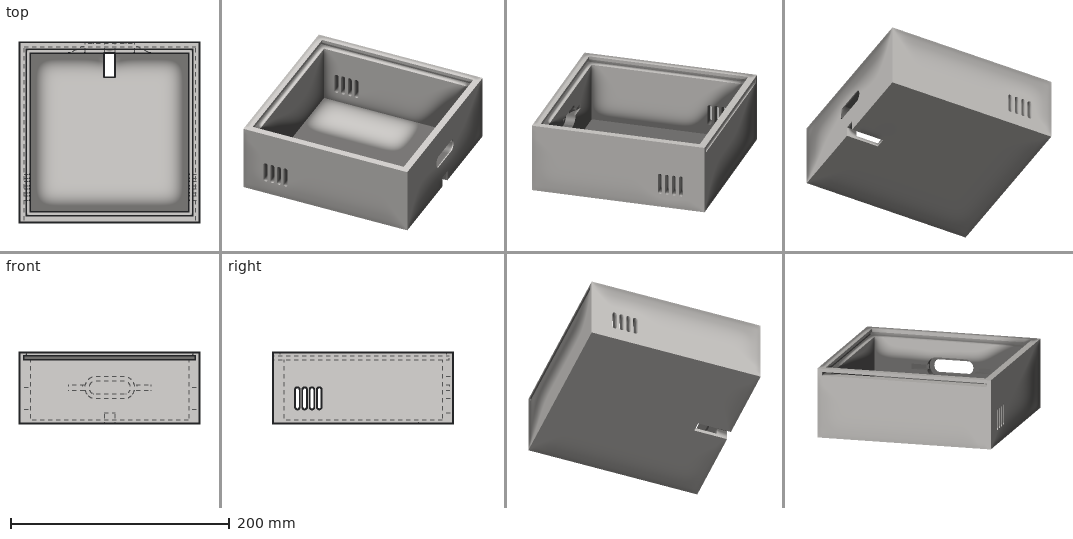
import cadquery as cq

side = 165.0
height = 65.0
wall = 10.0
floor = 3.5
cavity = side - 2 * wall

lid_opening = 152.0
lid_groove_width = 156.5
lip = 3.0
groove_height = 3.5
ledge_z = height - lip - groove_height

vent_count = 4
vent_width = 4.0
vent_length = 20.0
vent_first_y = -60.0
vent_last_y = -40.0
vent_mid_z = 23.0

notch_width = 10.0
notch_length = 32.0
notch_height = 10.0

socket_mid_z = 33.0
recess_depth = 9.0
recess_height = 20.0
recess_flat = 30.0
recess_length = 45.5
window_margin = 4.0

flange_length = 75.0
flange_floor_length = 50.0
flange_depth = 6.5
flange_thickness = 5.0

inner_y = cavity / 2
outer_y = side / 2


def make_box():
    box = cq.Workplane("XY").box(side, side, height, centered=(True, True, False))
    room = cq.Workplane("XY").workplane(offset=floor).rect(cavity, cavity).extrude(height)
    return box.cut(room)


def lid_cut():
    opening = cq.Workplane("XY").workplane(offset=ledge_z).rect(lid_opening, lid_opening).extrude(height)
    groove_end_y = lid_groove_width / 2
    groove_length = outer_y + groove_end_y
    groove = (
        cq.Workplane("XY")
        .workplane(offset=ledge_z)
        .center(0, groove_end_y - groove_length / 2)
        .rect(lid_groove_width, groove_length)
        .extrude(groove_height)
    )
    return opening.union(groove)


def vent_cut():
    pitch = (vent_last_y - vent_first_y) / (vent_count - 1)
    places = [(vent_first_y + i * pitch, vent_mid_z) for i in range(vent_count)]
    return cq.Workplane("YZ").pushPoints(places).slot2D(vent_length, vent_width, 90).extrude(side, both=True)


def notch_cut():
    return (
        cq.Workplane("XY")
        .center(0, outer_y - notch_length / 2)
        .rect(notch_width, notch_length)
        .extrude(notch_height)
    )


def wall_pocket(margin, depth):
    """Flat-sided pocket with arc ends, entering the back wall from inside and inset by the margin."""
    flat_end = recess_flat / 2
    half_height = recess_height / 2 - margin
    arc_tip = recess_length / 2 - margin
    plane = cq.Plane(origin=(0, inner_y, socket_mid_z), xDir=(-1, 0, 0), normal=(0, 1, 0))
    return (
        cq.Workplane(plane)
        .moveTo(-flat_end, -half_height)
        .lineTo(flat_end, -half_height)
        .threePointArc((arc_tip, 0), (flat_end, half_height))
        .lineTo(-flat_end, half_height)
        .threePointArc((-arc_tip, 0), (-flat_end, -half_height))
        .close()
        .extrude(depth)
    )


def socket_cut():
    return wall_pocket(0, recess_depth).union(wall_pocket(window_margin, wall))


def flange_cut():
    """Trapezoid slot in the back wall, widest at the inner face."""
    outline = [
        (-flange_length / 2, inner_y),
        (-flange_floor_length / 2, inner_y + flange_depth),
        (flange_floor_length / 2, inner_y + flange_depth),
        (flange_length / 2, inner_y),
    ]
    return (
        cq.Workplane("XY")
        .workplane(offset=socket_mid_z - flange_thickness / 2)
        .polyline(outline)
        .close()
        .extrude(flange_thickness)
    )


result = make_box()
for cutter in (lid_cut(), vent_cut(), notch_cut(), socket_cut(), flange_cut()):
    result = result.cut(cutter)